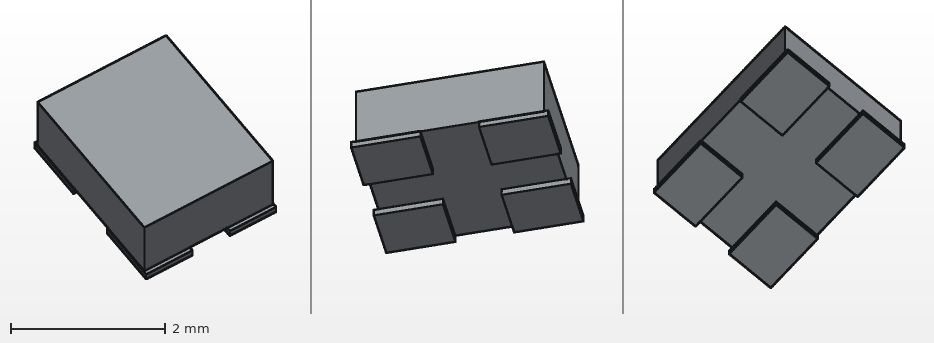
import cadquery as cq

overall_length = 2.62
overall_width = 2.02
overall_height = 1.0

pad_length = 0.92
pad_width = 0.72
pad_thickness = 0.1

pad_overhang_x = 0.06
pad_overhang_y = 0.01

body_length = overall_length - 2 * pad_overhang_x
body_width = overall_width - 2 * pad_overhang_y
body_height = overall_height - pad_thickness

pad_center_x = (overall_length - pad_length) / 2
pad_center_y = (overall_width - pad_width) / 2


def make_body():
    """Plain rectangular block with its underside on top of the pads."""
    block = cq.Workplane("XY").box(body_length, body_width, body_height, centered=(True, True, False))
    return block.translate((0, 0, pad_thickness))


def make_pad(center_x, center_y):
    """Flat terminal pad with its underside at Z = 0."""
    pad = cq.Workplane("XY").box(pad_length, pad_width, pad_thickness, centered=(True, True, False))
    return pad.translate((center_x, center_y, 0))


body = make_body()

pads = []
for side_x in (-1, 1):
    for side_y in (-1, 1):
        pads.append(make_pad(side_x * pad_center_x, side_y * pad_center_y))

result = cq.Compound.makeCompound([body.val(), *[pad.val() for pad in pads]])